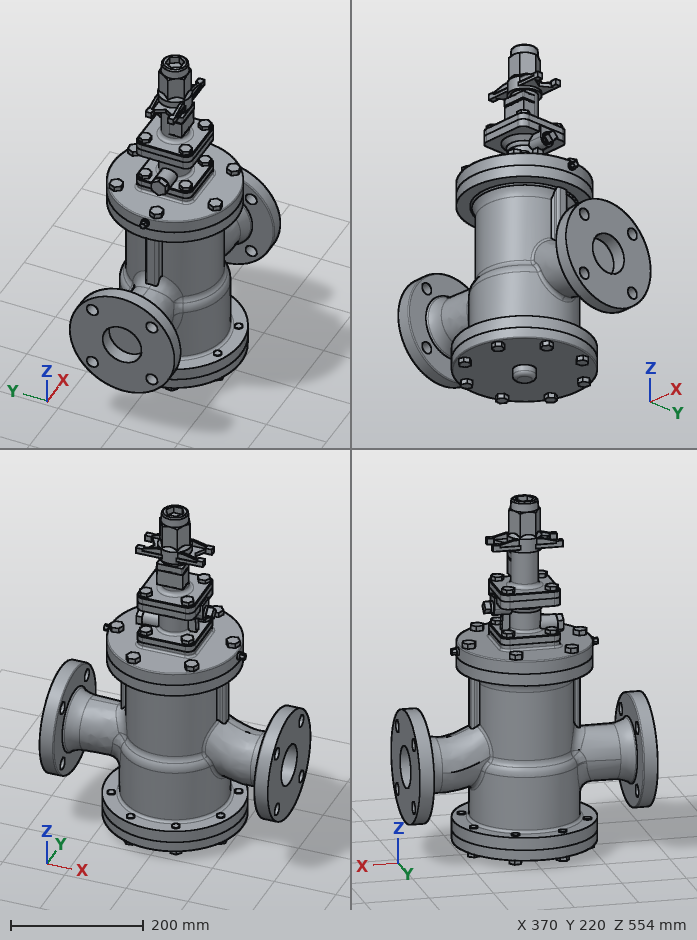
import cadquery as cq
import math

cover_bottom_z = 16.0
bottom_seam_z = 33.0
body_foot_z = 52.5
pipe_axis_z = 144.5
body_top_flange_z = 290.5
lid_seam_z = 309.0
lid_top_z = 330.0
boss_top_z = 339.0
pilot_foot_z = 350.0
pilot_flange_z = 395.5
pilot_seam_z = 408.0
housing_flange_top_z = 419.0
handle_bottom_z = 476.5
handle_top_z = 497.5
hex_top_z = 539.0
top_z = 554.0

flange_edge_fillet = 1.5
selection_margin = 0.5

lower_radius = 83.5
upper_radius = 74.0
bottom_flange_radius = 220.0 / 2
lid_radius = 206.0 / 2
shoulder_bottom_z = 140.0
shoulder_middle_z = 154.0
shoulder_top_z = 164.0
flare_bottom_z = 271.5
flare_top_z = 287.5
flare_radius = 79.0
flare_fillet = body_top_flange_z - flare_top_z
foot_fillet = 4.5
rib_reach = 85.0
rib_width = 20.0
rib_fillet = 4.5
rib_base_x = 73.0
rib_base_fillet = 3.5

pipe_face_x = 185.0
pipe_flange_thickness = 22.5
pipe_flange_radius = 175.0 / 2
pipe_radius = 85.5 / 2
pipe_neck_radius = 49.5
pipe_neck_bend = 44.5
pipe_neck_chamfer = 2.0
pipe_neck_x = 138.5
pipe_bore_diameter = 65.0
pipe_hole_diameter = 19.0
pipe_hole_circle_radius = 70.1
pipe_hole_count = 4
pipe_hole_start_angle = 45.0
inlet_half_width = 35.5
inlet_root_x = 55.5
inlet_fillet = 18.5
outlet_middle_x = 99.5
outlet_middle_rise = 4.5
outlet_middle_half_width = 42.0
outlet_middle_half_height = 44.0
outlet_root_x = 50.0
outlet_root_rise = 27.5
outlet_root_half_width = 40.5
outlet_root_half_height = 51.0
outlet_fillet = 5.5

big_bolt_diameter = 21.5
small_bolt_diameter = 20.0
big_bolt_height = 8.0
small_bolt_height = 6.0
lid_bolt_circle_radius = 90.5
lid_bolt_count = 6
lid_bolt_start_angle = 7.7
cover_bolt_circle_radius = 96.0
cover_bolt_count = 8
cover_bolt_start_angle = 22.5
stud_diameter = 12.0
stud_height = 1.5
square_bolt_offset = 34.0
side_screw_z = 321.0
side_screw_disc_diameter = 12.0
side_screw_disc_x = 106.5
side_screw_head_diameter = 10.0
side_screw_end_x = 113.5

plug_diameter = 36.0
plug_fillet = 6.5

square_flange_size = 92.5
square_corner_radius = 11.5
square_edge_chamfer = 1.0
boss_size = 92.0
boss_foot_fillet = 3.5
pilot_neck_radius = 49.5 / 2
pilot_flare_bottom_z = 381.0
pilot_cone_z = 388.0
pilot_cone_angle = math.radians(45)
pilot_flare_bend = (pilot_cone_z - pilot_flare_bottom_z) / math.sin(pilot_cone_angle)
pilot_foot_fillet = 4.5
side_port_z = 354.0
side_port_diameter = 27.0
side_port_collar_x = 49.0
side_port_end_x = 58.0
plug_boss_z = 386.5
plug_boss_diameter = 25.5
plug_boss_top_z = 404.5
plug_boss_x = 50.0
plug_shank_diameter = 19.0
plug_head_x = 54.0
plug_head_end_x = 63.0
plug_head_diagonal = 19.0
gusset_width = 11.0
gusset_foot_x = 36.5
gusset_top_x = 34.5

stem_radius = 42.0 / 2
stem_foot_z = 425.5
panel_bottom_z = 431.5
panel_top_z = 457.0
band_bottom_z = 458.5
band_top_z = 470.0
band_front_y = 22.5
band_fillet = 1.5
hub_radius = 52.0 / 2
hex_diameter = 49.5
cap_foot_radius = 21.35
cap_corner_drop = 2.0
cap_skirt_height = 6.0
cap_shoulder_radius = 20.2
cap_tip_radius = 18.0
cap_tip_height = 2.0
socket_diameter = 29.0
socket_depth = 11.0
handle_reach = 54.5
handle_half_width = 23.0
handle_underside_z = 481.0
handle_web_thickness = 6.0
handle_rib_inset = 1.0
handle_tip_height = 9.5
handle_web_x = 43.0
handle_notch_x = 32.5
handle_rib_width = 5.5
handle_rib_root_x = 22.0
handle_rib_root_z = 496.0
handle_knob_x = 44.0
handle_knob_width = 9.5


def cylinder(radius, bottom, top):
    return cq.Workplane("XY").workplane(offset=bottom).circle(radius).extrude(top - bottom)


def x_cylinder(radius, z, start_x, end_x):
    """Cylinder along X whose axis lies at height z."""
    return cq.Workplane("YZ", origin=(start_x, 0, z)).circle(radius).extrude(end_x - start_x)


def box(x0, x1, y0, y1, z0, z1):
    return cq.Workplane("XY").box(x1 - x0, y1 - y0, z1 - z0, centered=False).translate((x0, y0, z0))


def bolt_head(x, y, bottom, height, corner_diameter, angle=0.0):
    head = cq.Workplane("XY").polygon(6, corner_diameter).extrude(height)
    return head.rotate((0, 0, 0), (0, 0, 1), angle).translate((x, y, bottom))


def ring_points(radius, count, start_angle):
    """(x, y, angle) for evenly spaced places on a bolt circle."""
    places = []
    for i in range(count):
        angle = start_angle + 360.0 * i / count
        turn = math.radians(angle)
        places.append((radius * math.cos(turn), radius * math.sin(turn), angle))
    return places


def square_plate(bottom, top, size=square_flange_size):
    plate = cq.Workplane("XY").workplane(offset=bottom).rect(size, size)
    return plate.extrude(top - bottom).edges("|Z").fillet(square_corner_radius)


def add_square_bolts(part, bottom):
    for x in (-square_bolt_offset, square_bolt_offset):
        for y in (-square_bolt_offset, square_bolt_offset):
            part = part.union(bolt_head(x, y, bottom, small_bolt_height, small_bolt_diameter))
    return part


def make_bottom_cover():
    cover = cylinder(bottom_flange_radius, cover_bottom_z, bottom_seam_z)
    cover = cover.faces("<Z").edges().fillet(flange_edge_fillet)
    plug = cylinder(plug_diameter / 2, 0, cover_bottom_z).faces("<Z").edges().fillet(plug_fillet)
    cover = cover.union(plug)
    head_z = cover_bottom_z - big_bolt_height
    for x, y, angle in ring_points(cover_bolt_circle_radius, cover_bolt_count, cover_bolt_start_angle):
        cover = cover.union(bolt_head(x, y, head_z, big_bolt_height, small_bolt_diameter, angle))
    return cover


def make_barrel():
    """Turned core: both end flanges, the stepped barrel and its S-shaped shoulder."""
    step = lower_radius - upper_radius
    convex_share = (shoulder_middle_z - shoulder_bottom_z) / (shoulder_top_z - shoulder_bottom_z)
    middle_radius = lower_radius - step * convex_share
    return (
        cq.Workplane("XZ")
        .moveTo(0, bottom_seam_z)
        .lineTo(bottom_flange_radius, bottom_seam_z)
        .lineTo(bottom_flange_radius, body_foot_z)
        .lineTo(lower_radius + foot_fillet, body_foot_z)
        .radiusArc((lower_radius, body_foot_z + foot_fillet), foot_fillet)
        .lineTo(lower_radius, shoulder_bottom_z)
        .tangentArcPoint((middle_radius, shoulder_middle_z), relative=False)
        .tangentArcPoint((upper_radius, shoulder_top_z), relative=False)
        .lineTo(upper_radius, flare_bottom_z)
        .tangentArcPoint((flare_radius, flare_top_z), relative=False)
        .radiusArc((flare_radius + flare_fillet, body_top_flange_z), -flare_fillet)
        .lineTo(lid_radius, body_top_flange_z)
        .lineTo(lid_radius, lid_seam_z)
        .lineTo(0, lid_seam_z)
        .close()
        .revolve(360, (0, 0, 0), (0, 1, 0))
    )


def make_rib(side):
    """Upright rib between a pipe connection and the upper flange."""
    half = rib_width / 2
    foot_half = half + rib_base_fillet
    rib = (
        cq.Workplane("XY", origin=(0, 0, pipe_axis_z))
        .moveTo(0, -foot_half)
        .lineTo(rib_base_x, -foot_half)
        .radiusArc((rib_base_x + rib_base_fillet, -half), rib_base_fillet)
        .lineTo(rib_reach - rib_fillet, -half)
        .radiusArc((rib_reach, -half + rib_fillet), -rib_fillet)
        .lineTo(rib_reach, half - rib_fillet)
        .radiusArc((rib_reach - rib_fillet, half), -rib_fillet)
        .lineTo(rib_base_x + rib_base_fillet, half)
        .radiusArc((rib_base_x, foot_half), rib_base_fillet)
        .lineTo(0, foot_half)
        .close()
        .extrude(body_top_flange_z - pipe_axis_z)
    )
    return rib if side > 0 else rib.mirror("YZ")


def make_pipe_end():
    """Pipe flange with its flared neck on the +X side, before drilling."""
    flange_back_x = pipe_face_x - pipe_flange_thickness
    flange = x_cylinder(pipe_flange_radius, pipe_axis_z, flange_back_x, pipe_face_x)
    flange = flange.faces("<X").edges().fillet(flange_edge_fillet)
    neck_end_x = flange_back_x - pipe_neck_chamfer
    neck = (
        cq.Workplane("XZ")
        .moveTo(pipe_neck_x, pipe_axis_z)
        .lineTo(pipe_neck_x, pipe_axis_z + pipe_radius)
        .radiusArc((neck_end_x, pipe_axis_z + pipe_neck_radius), -pipe_neck_bend)
        .lineTo(flange_back_x, pipe_axis_z + pipe_neck_radius + pipe_neck_chamfer)
        .lineTo(flange_back_x, pipe_axis_z)
        .close()
        .revolve(360, (pipe_neck_x, pipe_axis_z, 0), (flange_back_x, pipe_axis_z, 0))
    )
    return flange.union(neck)


def make_inlet():
    """Straight pipe on the -X side that narrows sideways towards the barrel."""
    return (
        cq.Workplane("YZ", origin=(-pipe_neck_x, 0, pipe_axis_z))
        .circle(pipe_radius)
        .workplane(offset=pipe_neck_x - inlet_root_x)
        .ellipse(inlet_half_width, pipe_radius)
        .loft(ruled=True)
    )


def make_outlet():
    """Pipe on the +X side that rises and widens upwards towards the barrel."""
    return (
        cq.Workplane("YZ", origin=(pipe_neck_x, 0, pipe_axis_z))
        .circle(pipe_radius)
        .workplane(offset=outlet_middle_x - pipe_neck_x)
        .center(0, outlet_middle_rise)
        .ellipse(outlet_middle_half_width, outlet_middle_half_height)
        .workplane(offset=outlet_root_x - outlet_middle_x)
        .center(0, outlet_root_rise - outlet_middle_rise)
        .ellipse(outlet_root_half_width, outlet_root_half_height)
        .loft()
    )


def drill_pipe_end(body, side):
    flange_back_x = side * (pipe_face_x - pipe_flange_thickness)
    face_x = side * pipe_face_x
    body = body.cut(x_cylinder(pipe_bore_diameter / 2, pipe_axis_z, flange_back_x, face_x))
    for y, z, _ in ring_points(pipe_hole_circle_radius, pipe_hole_count, pipe_hole_start_angle):
        hole = x_cylinder(pipe_hole_diameter / 2, pipe_axis_z + z, flange_back_x, face_x)
        body = body.cut(hole.translate((0, y, 0)))
    return body


def join_pipe(body, pipe, side, fillet):
    """Union of the body with a pipe on one side, with the seam between them rounded."""
    outer_x = side * (lower_radius + selection_margin)
    seam_box = cq.selectors.BoxSelector(
        (0, -lower_radius, body_foot_z + foot_fillet), (outer_x, lower_radius, flare_bottom_z)
    )
    return body.union(pipe).edges(seam_box).edges("%BSPLINE").fillet(fillet)


def make_body():
    body = join_pipe(make_barrel(), make_inlet(), -1, inlet_fillet)
    body = join_pipe(body, make_outlet(), 1, outlet_fillet)
    pipe_end = make_pipe_end()
    body = body.union(pipe_end).union(pipe_end.mirror("YZ"))
    for side in (-1, 1):
        body = body.union(make_rib(side))
        body = drill_pipe_end(body, side)
    for x, y, _ in ring_points(cover_bolt_circle_radius, cover_bolt_count, cover_bolt_start_angle):
        stud = cylinder(stud_diameter / 2, body_foot_z, body_foot_z + stud_height)
        body = body.union(stud.translate((x, y, 0)))
    return body


def make_lid():
    lid = cylinder(lid_radius, lid_seam_z, lid_top_z).faces(">Z").edges().fillet(flange_edge_fillet)
    lid = lid.union(square_plate(lid_top_z, boss_top_z, boss_size))
    reach = boss_size / 2 + selection_margin
    around_foot = cq.selectors.BoxSelector(
        (-reach, -reach, lid_top_z - selection_margin), (reach, reach, lid_top_z + selection_margin)
    )
    lid = lid.edges(around_foot).fillet(boss_foot_fillet)
    for x, y, angle in ring_points(lid_bolt_circle_radius, lid_bolt_count, lid_bolt_start_angle):
        lid = lid.union(bolt_head(x, y, lid_top_z, big_bolt_height, big_bolt_diameter, angle))
    for side in (-1, 1):
        disc = x_cylinder(side_screw_disc_diameter / 2, side_screw_z, 0, side * side_screw_disc_x)
        head = cq.Workplane("YZ", origin=(0, 0, side_screw_z)).polygon(6, side_screw_head_diameter)
        head = head.extrude(side * side_screw_end_x)
        lid = lid.union(disc).union(head)
    return lid


def make_pilot_core():
    """Square foot flange, round neck and 45 degree flared head under the upper flange."""
    foot = square_plate(boss_top_z, pilot_foot_z).faces(">Z").edges().chamfer(square_edge_chamfer)
    cone_foot_radius = pilot_neck_radius + pilot_flare_bend * (1 - math.cos(pilot_cone_angle))
    neck = (
        cq.Workplane("XZ")
        .moveTo(0, boss_top_z)
        .lineTo(pilot_neck_radius + pilot_foot_fillet, boss_top_z)
        .lineTo(pilot_neck_radius + pilot_foot_fillet, pilot_foot_z)
        .radiusArc((pilot_neck_radius, pilot_foot_z + pilot_foot_fillet), pilot_foot_fillet)
        .lineTo(pilot_neck_radius, pilot_flare_bottom_z)
        .radiusArc((cone_foot_radius, pilot_cone_z), -pilot_flare_bend)
        .lineTo(cone_foot_radius + pilot_flange_z - pilot_cone_z, pilot_flange_z)
        .lineTo(0, pilot_flange_z)
        .close()
        .revolve(360, (0, 0, 0), (0, 1, 0))
    )
    return foot.union(neck).union(square_plate(pilot_flange_z, pilot_seam_z))


def make_side_port():
    """Round port on the -X side, closed by a hexagonal cap."""
    port = x_cylinder(side_port_diameter / 2, side_port_z, 0, -side_port_collar_x)
    cap = cq.Workplane("YZ", origin=(-side_port_end_x, 0, side_port_z)).polygon(6, side_port_diameter)
    cap = cap.extrude(side_port_end_x - side_port_collar_x)
    return port.union(cap.rotate((0, 0, side_port_z), (1, 0, side_port_z), 90))


def make_plug_boss():
    """Upright boss on the +X side with a square-headed plug and a gusset below it."""
    half = plug_boss_diameter / 2
    boss = x_cylinder(half, plug_boss_z, 0, plug_boss_x)
    boss = boss.union(box(0, plug_boss_x, -half, half, plug_boss_z, plug_boss_top_z))
    shank = x_cylinder(plug_shank_diameter / 2, plug_boss_z, 0, plug_head_x)
    head = cq.Workplane("YZ", origin=(plug_head_x, 0, plug_boss_z)).polygon(4, plug_head_diagonal)
    head = head.extrude(plug_head_end_x - plug_head_x)
    gusset = (
        cq.Workplane("XZ", origin=(0, gusset_width / 2, 0))
        .moveTo(0, pilot_foot_z)
        .lineTo(gusset_foot_x, pilot_foot_z)
        .lineTo(gusset_top_x, plug_boss_z)
        .lineTo(0, plug_boss_z)
        .close()
        .extrude(gusset_width)
    )
    return boss.union(shank).union(head).union(gusset)


def make_top_cover():
    cover = make_lid().union(make_pilot_core()).union(make_side_port()).union(make_plug_boss())
    return add_square_bolts(cover, pilot_foot_z)


def make_stem():
    """Round stem with its flared foot, the flat-fronted panel and the band above it."""
    foot_height = stem_foot_z - housing_flange_top_z
    foot_start = stem_radius + foot_height
    stem = (
        cq.Workplane("XZ")
        .moveTo(0, pilot_seam_z)
        .lineTo(foot_start, pilot_seam_z)
        .lineTo(foot_start, housing_flange_top_z)
        .radiusArc((stem_radius, stem_foot_z), foot_height)
        .lineTo(stem_radius, handle_bottom_z)
        .lineTo(0, handle_bottom_z)
        .close()
        .revolve(360, (0, 0, 0), (0, 1, 0))
    )
    panel = box(-stem_radius, stem_radius, -stem_radius, 0, panel_bottom_z, panel_top_z)
    band = box(-stem_radius, stem_radius, -band_front_y, 0, band_bottom_z, band_top_z)
    band = band.edges("|Z and <Y").fillet(band_fillet)
    return stem.union(panel).union(band)


def make_handle_side():
    """Half of the handle on the +X side: notched web between two sloping ribs with end knobs."""
    tip_z = handle_underside_z + handle_tip_height
    web = (
        cq.Workplane("XY", origin=(0, 0, handle_underside_z))
        .moveTo(0, -handle_half_width)
        .lineTo(handle_web_x, -handle_half_width)
        .lineTo(handle_web_x, -handle_half_width + handle_rib_width)
        .lineTo(handle_notch_x, 0)
        .lineTo(handle_web_x, handle_half_width - handle_rib_width)
        .lineTo(handle_web_x, handle_half_width)
        .lineTo(0, handle_half_width)
        .close()
        .extrude(handle_web_thickness)
    )
    rib = (
        cq.Workplane("XZ", origin=(0, handle_half_width - handle_rib_inset, 0))
        .moveTo(0, handle_underside_z)
        .lineTo(handle_reach, handle_underside_z)
        .lineTo(handle_reach, tip_z)
        .lineTo(handle_knob_x, tip_z)
        .lineTo(handle_rib_root_x, handle_rib_root_z)
        .lineTo(0, handle_rib_root_z)
        .close()
        .extrude(handle_rib_width - handle_rib_inset)
    )
    knob_inner_y = handle_half_width - handle_knob_width
    knob = box(handle_knob_x, handle_reach, knob_inner_y, handle_half_width, handle_underside_z, tip_z)
    rib_inner_y = handle_half_width - handle_rib_width
    web_top_z = handle_underside_z + handle_web_thickness
    base = box(0, handle_reach, rib_inner_y, handle_half_width, handle_underside_z, web_top_z)
    arm = rib.union(base).union(knob)
    return web.union(arm).union(arm.mirror("XZ"))


def make_handle():
    side = make_handle_side()
    hub = cylinder(hub_radius, handle_bottom_z, handle_top_z)
    return hub.union(side).union(side.mirror("YZ"))


def make_cap():
    """Hexagonal cap with turned-off corners, a tapered tip and a hexagonal socket."""
    hexagon = cq.Workplane("XY", origin=(0, 0, handle_top_z)).polygon(6, hex_diameter)
    hexagon = hexagon.extrude(hex_top_z - handle_top_z)
    flat_radius = hex_diameter / 2 * math.cos(math.radians(30))
    corner_inset = hex_diameter / 2 - cap_foot_radius
    turned = cylinder(hex_diameter / 2, handle_top_z, hex_top_z)
    turned = turned.faces(">Z").edges().chamfer(cap_corner_drop, corner_inset)
    tip = (
        cq.Workplane("XZ")
        .moveTo(0, hex_top_z)
        .lineTo(cap_foot_radius, hex_top_z)
        .lineTo(cap_shoulder_radius, top_z - cap_tip_height)
        .lineTo(cap_tip_radius, top_z)
        .lineTo(0, top_z)
        .close()
        .revolve(360, (0, 0, 0), (0, 1, 0))
    )
    socket = cq.Workplane("XY", origin=(0, 0, top_z - socket_depth)).polygon(6, socket_diameter)
    skirt = cq.Workplane("XY", origin=(0, 0, handle_top_z)).circle(hub_radius)
    skirt = skirt.workplane(offset=cap_skirt_height).circle(flat_radius).loft()
    return hexagon.intersect(turned).union(skirt).union(tip).cut(socket.extrude(socket_depth))


def make_spring_housing():
    flange = square_plate(pilot_seam_z, housing_flange_top_z)
    flange = flange.faces(">Z").edges().chamfer(square_edge_chamfer)
    housing = flange.union(make_stem()).union(make_handle()).union(make_cap())
    return add_square_bolts(housing, housing_flange_top_z)


bottom_cover = make_bottom_cover()
body = make_body()
top_cover = make_top_cover()
spring_housing = make_spring_housing()

result = cq.Compound.makeCompound(
    [bottom_cover.val(), body.val(), top_cover.val(), spring_housing.val()]
)